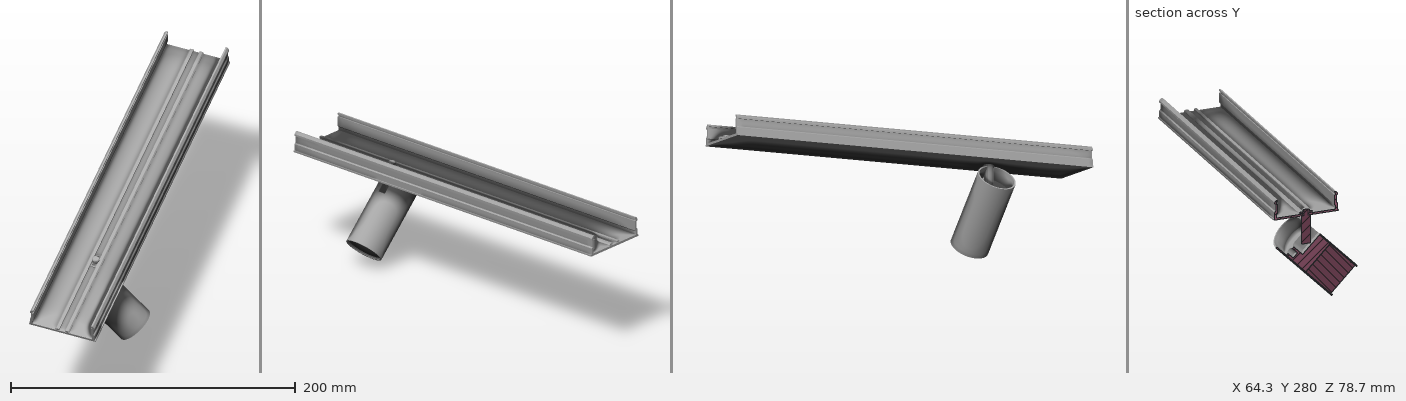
import cadquery as cq
import math

rail_length = 280.0
rail_half_width = 25.0
rail_height = 15.0
floor_thickness = 1.7
foot_height = 1.0
wall_thickness = 1.7
wall_outer = 24.0
wall_offset = 0.8
jog_inner_z = 5.0
jog_outer_z = 6.0
barb_bottom_z = 12.0
barb_top_z = 13.5
notch_bottom_z = 12.3
notch_top_z = 13.7
tip_outer = 22.7

slot_half_width = 2.2
rib_outer = 5.3
rib_chamfer = 0.8
rib_web_inner = 3.5
rib_web_outer = 4.2
rib_height = 3.5
rib_flange_thickness = 1.0

lamp_y = -70.0
nut_length = 11.5
nut_width = 4.2
nut_plate_thickness = 0.5
nut_head_diameter = 5.3
nut_top_z = 5.0
nut_head_chamfer = 0.5
nut_hole_diameter = 2.45
nut_hole_offset = 4.0

stem_diameter = 7.0
stem_across_flats = 4.2
stem_pad_width = 4.2
stem_across_pads = 6.0
stem_bottom_z = -21.3
spigot_diameter = 2.45

lamp_tilt = 45.0
tube_diameter = 28.0
tube_bore = 25.8
tube_length = 60.2
rear_centre_x = -13.2
rear_centre_z = -11.2
rear_recess = 10.5
module_start = 31.5
front_recess = 1.7
stem_slot_width = stem_across_pads
stem_slot_end = -5.0
stem_slot_depth = 20.0
cable_hole_diameter = 4.5
cable_hole_offset = 9.0
cable_hole_depth = 5.5

tilt = math.radians(lamp_tilt)
lamp_plane = cq.Plane(
    origin=(rear_centre_x, lamp_y, rear_centre_z),
    xDir=(math.cos(tilt), 0, math.sin(tilt)),
    normal=(math.sin(tilt), 0, -math.cos(tilt)),
)


def upright_cylinder(diameter, bottom_z, top_z):
    """Vertical cylinder on the stem axis."""
    return (
        cq.Workplane("XY", origin=(0, lamp_y, bottom_z))
        .circle(diameter / 2)
        .extrude(top_z - bottom_z)
    )


def lamp_cylinder(diameter, start, end):
    """Cylinder on the lamp axis between two distances from the rear rim."""
    return (
        cq.Workplane(lamp_plane)
        .workplane(offset=start)
        .circle(diameter / 2)
        .extrude(end - start)
    )


def along_rail(points):
    """Outline in X and Z, extruded over the full length of the rail."""
    return (
        cq.Workplane("XZ", origin=(0, rail_length / 2, 0))
        .polyline(points)
        .close()
        .extrude(rail_length)
    )


def side_wall():
    """Floor half and snap wall on the +X side."""
    inner = wall_outer - wall_thickness
    upper_outer = wall_outer - wall_offset
    upper_inner = inner - wall_offset
    return along_rail([
        (0, 0),
        (rail_half_width, 0),
        (rail_half_width, foot_height),
        (wall_outer, foot_height),
        (wall_outer, jog_outer_z),
        (upper_outer, jog_outer_z + wall_offset),
        (upper_outer, barb_bottom_z),
        (wall_outer, barb_bottom_z),
        (wall_outer, barb_top_z),
        (tip_outer, rail_height),
        (upper_inner, rail_height),
        (upper_inner, notch_top_z),
        (inner, notch_top_z),
        (inner, notch_bottom_z),
        (upper_inner, notch_bottom_z),
        (upper_inner, jog_inner_z),
        (inner, jog_inner_z - wall_offset),
        (inner, floor_thickness),
        (0, floor_thickness),
    ])


def slot_rib():
    """T-shaped rib on the +X side of the slot."""
    flange_z = rib_height - rib_flange_thickness
    return along_rail([
        (rib_web_inner, 0),
        (rib_web_outer, 0),
        (rib_web_outer, flange_z),
        (rib_outer, flange_z),
        (rib_outer, rib_height - rib_chamfer),
        (rib_outer - rib_chamfer, rib_height),
        (slot_half_width, rib_height),
        (slot_half_width, flange_z),
        (rib_web_inner, flange_z),
    ])


def make_rail():
    half = side_wall().union(slot_rib())
    rail = half.union(half.mirror("YZ"))
    head_clearance = upright_cylinder(nut_head_diameter, floor_thickness, nut_top_z)
    spigot_hole = upright_cylinder(spigot_diameter, 0, floor_thickness)
    return rail.cut(head_clearance).cut(spigot_hole)


def make_nut():
    plate = (
        cq.Workplane("XY", origin=(0, lamp_y, floor_thickness))
        .rect(nut_width, nut_length)
        .extrude(nut_plate_thickness)
        .faces(">Z")
        .workplane(origin=(0, lamp_y, 0))
        .pushPoints([(0, -nut_hole_offset), (0, nut_hole_offset)])
        .hole(nut_hole_diameter)
    )
    head = upright_cylinder(nut_head_diameter, floor_thickness, nut_top_z)
    head = head.faces(">Z").chamfer(nut_head_chamfer)
    spigot_hole = upright_cylinder(spigot_diameter, floor_thickness, nut_top_z)
    return plate.union(head).cut(spigot_hole)


def stem_bar(size_x, size_y):
    """Rectangular bar on the stem axis, as long as the shank."""
    return (
        cq.Workplane("XY", origin=(0, lamp_y, stem_bottom_z))
        .rect(size_x, size_y)
        .extrude(-stem_bottom_z)
    )


def make_stem():
    shank = upright_cylinder(stem_diameter, stem_bottom_z, 0)
    shank = shank.intersect(stem_bar(stem_diameter, stem_across_flats))
    shank = shank.union(stem_bar(stem_pad_width, stem_across_pads))
    return shank.union(upright_cylinder(spigot_diameter, 0, nut_top_z))


def stem_slot():
    """Round-ended slot that opens through the upper wall and the rear of the lamp."""
    end_radius = stem_slot_width / 2
    straight_start = stem_slot_end + end_radius
    straight_end = tube_diameter
    return (
        cq.Workplane(lamp_plane)
        .moveTo(straight_end, -end_radius)
        .lineTo(straight_start, -end_radius)
        .threePointArc((stem_slot_end, 0), (straight_start, end_radius))
        .lineTo(straight_end, end_radius)
        .close()
        .extrude(stem_slot_depth)
    )


def make_tube():
    tube = lamp_cylinder(tube_diameter, 0, tube_length)
    return tube.cut(lamp_cylinder(tube_bore, 0, tube_length)).cut(stem_slot())


def make_heat_sink():
    cable_hole = (
        cq.Workplane(lamp_plane)
        .workplane(offset=rear_recess)
        .center(-cable_hole_offset, 0)
        .circle(cable_hole_diameter / 2)
        .extrude(cable_hole_depth)
    )
    return lamp_cylinder(tube_bore, rear_recess, module_start).cut(stem_slot()).cut(cable_hole)


def make_light_module():
    return lamp_cylinder(tube_bore, module_start, tube_length - front_recess)


rail = make_rail()
nut = make_nut()
stem = make_stem()
tube = make_tube()
heat_sink = make_heat_sink()
light_module = make_light_module()

result = cq.Compound.makeCompound([
    rail.val(),
    nut.val(),
    stem.val(),
    tube.val(),
    heat_sink.val(),
    light_module.val(),
])